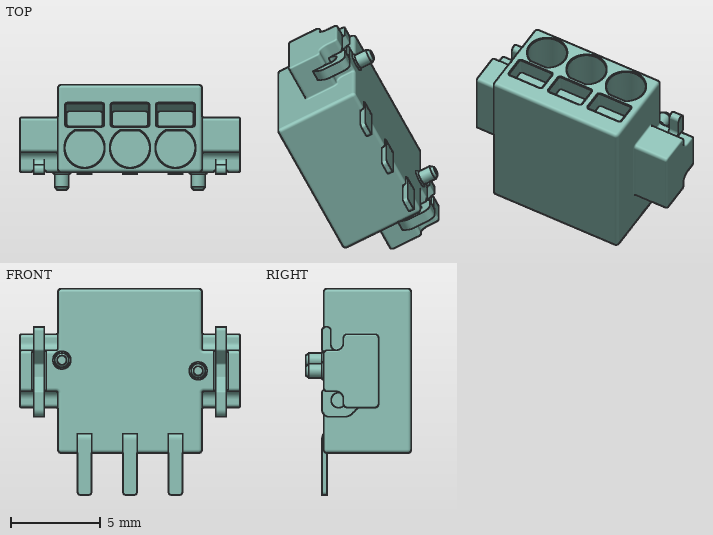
import cadquery as cq
import math


overall_height = 11.55
body_width = 8.06
body_depth = 4.9
body_height = 9.2
body_edge_radius = 0.2
pole_count = 3
pole_pitch = 2.54

entry_radius = 1.1
entry_y = 1.36
entry_flat_offset = 0.97
entry_depth = 3.0
rim_chamfer = 0.04

button_width = 2.12
button_front_y = 2.57
button_back_y = 3.86
button_depth = 1.0
button_side_draft = 0.06
button_back_run = 0.46
button_corner_radius = 0.12

overall_width = 12.31
flange_mid_z = body_height / 2
flange_half_height = 2.05
flange_back_y = 3.07
neck_half_height = 1.15
flange_bottom = flange_mid_z - flange_half_height
flange_top = flange_mid_z + flange_half_height
neck_bottom = flange_mid_z - neck_half_height
neck_top = flange_mid_z + neck_half_height
shoulder_y = 1.11
shoulder_inner_radius = 0.43
flange_corner_radius = 0.2
flange_end_radius = 0.1
flange_root_radius = 0.1

clip_x = 5.08
clip_thickness = 0.6
slot_depth = 0.9
slot_edge_radius = 0.1
front_plane_y = -0.1
clip_top_z = 7.06
clip_bottom_z = 2.03
finger_back_y = 0.41
finger_tip_radius = 0.22
finger_root_radius = 0.3
foot_end_y = 1.92
foot_back_y = 1.42
foot_front_radius = 0.42
foot_back_radius = 0.6
notch_depth_y = 0.8
notch_mouth_half_height = 1.15
notch_floor_half_height = 0.39
notch_lip_radius = 0.15
notch_floor_radius = 0.15
clip_relief_y = 0.84
clip_relief_z = 2.96
clip_relief_radius = 0.42

peg_x = 3.81
left_peg_z = 5.2
right_peg_z = 4.6
peg_diameter = 0.8
peg_tip_y = -1.0
peg_tip_radius = 0.26
peg_tip_length = 0.18
peg_root_radius = 0.1

pin_width = 0.8
pin_thickness = 0.3
pin_top_z = 1.08
pin_bottom_z = body_height - overall_height
pin_bend_radius = 0.6
pin_corner_radius = 0.2

match_tolerance = 0.005

pole_positions = [(i - (pole_count - 1) / 2) * pole_pitch for i in range(pole_count)]


def round_edges_along_x(solid, corners, radius):
    """Fillet the edges parallel to X that pass through the given (y, z) corners."""

    def is_chosen(edge):
        centre = edge.Center()
        return any(math.hypot(centre.y - y, centre.z - z) < match_tolerance for y, z in corners)

    chosen = [edge for edge in solid.edges("|X").vals() if is_chosen(edge)]
    return solid.newObject(chosen).fillet(radius)


def make_flange(side):
    """One side flange, starting inside the housing."""
    outline_points = [
        (0, neck_bottom),
        (shoulder_y, neck_bottom),
        (shoulder_y, flange_bottom),
        (flange_back_y, flange_bottom),
        (flange_back_y, flange_top),
        (shoulder_y, flange_top),
        (shoulder_y, neck_top),
        (0, neck_top),
    ]
    block = cq.Workplane("YZ").polyline(outline_points).close().extrude(side * overall_width / 2)

    inner_corners = [(shoulder_y, neck_bottom), (shoulder_y, neck_top)]
    block = round_edges_along_x(block, inner_corners, shoulder_inner_radius)
    outer_corners = [(y, z) for y, z in outline_points if y > shoulder_y]
    outer_corners += [(shoulder_y, flange_bottom), (shoulder_y, flange_top)]
    return round_edges_along_x(block, outer_corners, flange_corner_radius)


def make_housing():
    """Housing with both flanges, its outer edges and the flange roots rounded."""
    half_width = body_width / 2
    housing = cq.Workplane("XY").box(
        body_width, body_depth, body_height, centered=(True, False, False)
    )
    for side in (-1, 1):
        housing = housing.union(make_flange(side))

    def lies_on_side(edge):
        on_side = abs(abs(edge.Center().x) - half_width) < match_tolerance
        return on_side and edge.BoundingBox().xlen < match_tolerance

    def is_flange_root(edge):
        box = edge.BoundingBox()
        above = box.zmin > flange_bottom - match_tolerance
        below = box.zmax < flange_top + match_tolerance
        return lies_on_side(edge) and above and below

    def lies_on_front(edge):
        on_front = abs(edge.Center().y) < match_tolerance
        is_flat = edge.BoundingBox().ylen < match_tolerance
        is_flange_end = abs(edge.Center().x) > overall_width / 2 - match_tolerance
        return on_front and is_flat and not is_flange_end

    def is_outer_edge(edge):
        spans_width = abs(edge.Center().x) < match_tolerance
        is_side_edge = lies_on_side(edge) and not is_flange_root(edge)
        return spans_width or is_side_edge or lies_on_front(edge)

    root_edges = [edge for edge in housing.edges().vals() if is_flange_root(edge)]
    housing = housing.newObject(root_edges).fillet(flange_root_radius)
    outer_edges = [edge for edge in housing.edges().vals() if is_outer_edge(edge)]
    housing = housing.newObject(outer_edges).fillet(body_edge_radius)
    return housing.faces("<X or >X").edges().fillet(flange_end_radius)


def make_clip_slot(x):
    """Cutter for a slot across the neck, its mouth flared by rounded edges."""
    half_slot = clip_thickness / 2
    half_mouth = half_slot + slot_edge_radius
    cutter = (
        cq.Workplane("XY")
        .moveTo(-half_mouth, 0)
        .radiusArc((-half_slot, slot_edge_radius), slot_edge_radius)
        .lineTo(-half_slot, slot_depth)
        .lineTo(half_slot, slot_depth)
        .lineTo(half_slot, slot_edge_radius)
        .radiusArc((half_mouth, 0), slot_edge_radius)
        .close()
        .extrude(2 * neck_half_height)
    )
    return cutter.translate((x, 0, neck_bottom))


def make_clip(x):
    """Solder clip: finger above, notch in the middle and a hooked foot below."""
    mouth_top = (front_plane_y, flange_mid_z + notch_mouth_half_height)
    mouth_bottom = (front_plane_y, flange_mid_z - notch_mouth_half_height)
    notch_floor_top = (notch_depth_y, flange_mid_z + notch_floor_half_height)
    notch_floor_bottom = (notch_depth_y, flange_mid_z - notch_floor_half_height)
    finger_top_front = (front_plane_y, clip_top_z)
    finger_top_back = (finger_back_y, clip_top_z)
    finger_root = (finger_back_y, neck_top)
    foot_front = (front_plane_y, clip_bottom_z)
    foot_back = (foot_back_y, clip_bottom_z)
    clip = cq.Workplane("YZ").polyline([
        finger_top_front,
        mouth_top,
        notch_floor_top,
        notch_floor_bottom,
        mouth_bottom,
        foot_front,
        foot_back,
        (foot_end_y, clip_bottom_z + foot_end_y - foot_back_y),
        (foot_end_y, neck_top),
        finger_root,
        finger_top_back,
    ]).close().extrude(clip_thickness / 2, both=True)
    clip = round_edges_along_x(clip, [finger_top_front, finger_top_back], finger_tip_radius)
    clip = round_edges_along_x(clip, [finger_root], finger_root_radius)
    clip = round_edges_along_x(clip, [mouth_top, mouth_bottom], notch_lip_radius)
    clip = round_edges_along_x(clip, [notch_floor_top, notch_floor_bottom], notch_floor_radius)
    clip = round_edges_along_x(clip, [foot_front], foot_front_radius)
    clip = round_edges_along_x(clip, [foot_back], foot_back_radius)
    relief = (
        cq.Workplane("YZ")
        .center(clip_relief_y, clip_relief_z)
        .circle(clip_relief_radius)
        .extrude(clip_thickness, both=True)
    )
    return clip.cut(relief).translate((x, 0, 0))


def make_wire_entry(x):
    """Cutter for one wire entry hole, with a small rim chamfer at the top."""
    flat_half_width = math.sqrt(entry_radius**2 - entry_flat_offset**2)
    outline = (
        cq.Workplane("XY")
        .moveTo(-flat_half_width, entry_flat_offset)
        .threePointArc((0, -entry_radius), (flat_half_width, entry_flat_offset))
        .close()
    )
    cutter = outline.extrude(-entry_depth)
    return add_rim(cutter).translate((x, entry_y, body_height))


def make_button_pocket(x):
    """Cutter for one push-button pocket with sloping side and back walls."""
    mouth_length = button_back_y - button_front_y
    floor_length = mouth_length - button_back_run
    floor_width = button_width - 2 * button_side_draft
    mouth = cq.Sketch().rect(button_width, mouth_length).vertices().fillet(button_corner_radius)
    floor = cq.Sketch().rect(floor_width, floor_length).vertices().fillet(button_corner_radius)
    cutter = cq.Workplane("XY").placeSketch(
        mouth.moved(cq.Location(cq.Vector(0, mouth_length / 2, 0))),
        floor.moved(cq.Location(cq.Vector(0, floor_length / 2, -button_depth))),
    ).loft()
    return add_rim(cutter).translate((x, button_front_y, body_height))


def add_rim(cutter):
    """Flare the mouth of a cutter whose top face lies at Z = 0."""
    flare = cutter.faces(">Z").wires().toPending().workplane().offset2D(rim_chamfer)
    flare = flare.extrude(-rim_chamfer, taper=45, combine=False)
    return cutter.union(flare)


def make_peg(x, z):
    """Locating peg with a flared root and a tapered tip, pointing to -Y."""
    radius = peg_diameter / 2
    root_radius = radius + peg_root_radius
    profile = (
        cq.Workplane("XY")
        .moveTo(0, body_edge_radius)
        .lineTo(root_radius, body_edge_radius)
        .lineTo(root_radius, 0)
        .radiusArc((radius, -peg_root_radius), peg_root_radius)
        .lineTo(radius, peg_tip_y + peg_tip_length)
        .lineTo(peg_tip_radius, peg_tip_y)
        .lineTo(0, peg_tip_y)
        .close()
    )
    return profile.revolve(360, (0, 0, 0), (0, 1, 0)).translate((x, 0, z))


def make_pin(x):
    """Flat solder pin running down the front face and past the underside."""
    bend_drop = math.sqrt(pin_bend_radius**2 - (pin_bend_radius + front_plane_y)**2)
    back_y = front_plane_y + pin_thickness
    pin = (
        cq.Workplane("YZ")
        .moveTo(front_plane_y, pin_bottom_z)
        .lineTo(front_plane_y, pin_top_z - bend_drop)
        .radiusArc((0, pin_top_z), pin_bend_radius)
        .lineTo(back_y, pin_top_z)
        .lineTo(back_y, pin_bottom_z)
        .close()
        .extrude(pin_width / 2, both=True)
    )
    pin = pin.edges("|Y and <Z").fillet(pin_corner_radius)
    return pin.translate((x, 0, 0))


result = make_housing()
for x in (-clip_x, clip_x):
    result = result.cut(make_clip_slot(x)).union(make_clip(x))
for x in pole_positions:
    result = result.cut(make_wire_entry(x)).cut(make_button_pocket(x)).union(make_pin(x))
result = result.union(make_peg(-peg_x, left_peg_z)).union(make_peg(peg_x, right_peg_z))